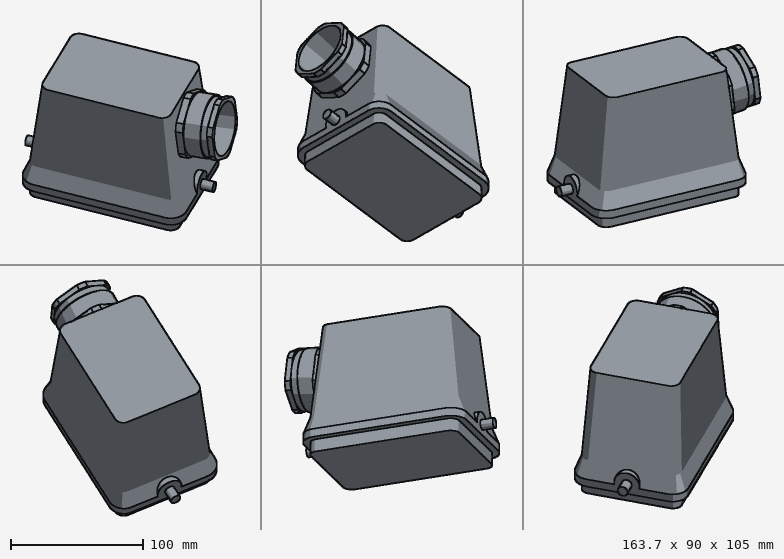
import cadquery as cq
import math

flange_bottom_z = 10.0
flange_top_z = 16.5
shoulder_z = 30.3
hood_height = 105.0

corner_radius = 7.2
neck_outline = (121.1, 79.5, corner_radius)
flange_outline = (132.2, 90.0, 12.6)
top_outline = (104.0, 71.4, corner_radius)

pin_diameter = 8.0
pin_span = 152.2
pin_z = 18.5
boss_radius = 10.1

gland_wall_z = 75.3
inner_nut_thickness = 5.9
inner_nut_flats = 49.9
inner_nut_corners = 54.0
body_diameter = 49.3
body_length = 13.5
collar_diameter = 47.0
collar_length = 5.5
outer_nut_thickness = 4.6
outer_nut_flats = collar_diameter
outer_nut_corners = 50.5
bore_diameter = 42.0


def outline_wire(outline, z):
    """Closed rounded rectangle at height z."""
    length, width, radius = outline
    block = cq.Workplane("XY", origin=(0, 0, z)).rect(length, width).extrude(1.6)
    return block.edges("|Z").fillet(radius).faces("<Z").wires().val()


def hood_section(lower_outline, upper_outline, bottom_z, top_z):
    """Solid between two rounded rectangles, tapered where they differ."""
    wires = [outline_wire(lower_outline, bottom_z), outline_wire(upper_outline, top_z)]
    return cq.Workplane(cq.Solid.makeLoft(wires, True))


def make_hood():
    plug = hood_section(neck_outline, neck_outline, 0, flange_bottom_z)
    flange = hood_section(flange_outline, flange_outline, flange_bottom_z, flange_top_z)
    shoulder = hood_section(flange_outline, neck_outline, flange_top_z, shoulder_z)
    cover = hood_section(neck_outline, top_outline, shoulder_z, hood_height)
    return plug.union(flange).union(shoulder).union(cover)


def make_pins():
    """Bosses flush with the flange ends, with one pin standing out of each."""
    flange_length = flange_outline[0]
    end_plane = cq.Workplane("YZ", origin=(0, 0, pin_z))
    bosses = end_plane.circle(boss_radius).extrude(flange_length / 2, both=True)
    below_flange = cq.Workplane("XY").box(
        flange_length, 2 * boss_radius, flange_bottom_z, centered=(True, True, False)
    )
    pins = end_plane.circle(pin_diameter / 2).extrude(pin_span / 2, both=True)
    return bosses.cut(below_flange).union(pins)


def gland_plane():
    """Plane lying on the +X end wall, with its normal pointing outward."""
    neck_x = neck_outline[0] / 2
    run = neck_x - top_outline[0] / 2
    rise = hood_height - shoulder_z
    wall_x = neck_x - run * (gland_wall_z - shoulder_z) / rise
    return cq.Plane(origin=(wall_x, 0, gland_wall_z), xDir=(0, 1, 0), normal=(rise, 0, run))


def gland_disc(offset, diameter, length):
    return cq.Workplane(gland_plane()).workplane(offset=offset).circle(diameter / 2).extrude(length)


def gland_nut(offset, flats, corners, thickness):
    """Hexagon with two flats facing +Y and -Y, its corners turned round."""
    sharp_corners = flats / math.cos(math.radians(30))
    hexagon = (
        cq.Workplane(gland_plane())
        .transformed(offset=(0, 0, offset), rotate=(0, 0, 30))
        .polygon(6, sharp_corners)
        .extrude(thickness)
    )
    return hexagon.intersect(gland_disc(offset, corners, thickness))


def make_gland():
    collar_start = inner_nut_thickness + body_length
    outer_nut_start = collar_start + collar_length
    gland_length = outer_nut_start + outer_nut_thickness
    inner_nut = gland_nut(0, inner_nut_flats, inner_nut_corners, inner_nut_thickness)
    body = gland_disc(inner_nut_thickness, body_diameter, body_length)
    collar = gland_disc(collar_start, collar_diameter, collar_length)
    outer_nut = gland_nut(outer_nut_start, outer_nut_flats, outer_nut_corners, outer_nut_thickness)
    bore = gland_disc(0, bore_diameter, gland_length)
    return inner_nut.union(body).union(collar).union(outer_nut).cut(bore)


result = make_hood().union(make_pins()).union(make_gland())